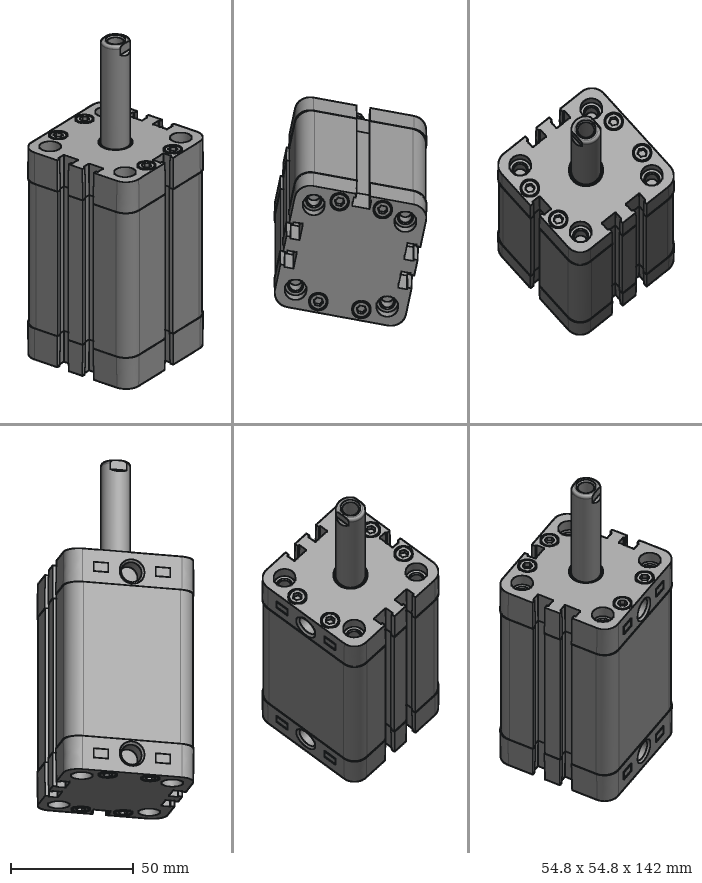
import cadquery as cq
import math

TOTAL_HEIGHT = 142.0
BODY_HEIGHT = 95.0
CAP_HEIGHT = 14.3
CAP_SEAM_WIDTH = 54.8
CAP_DRAFT = 0.7
CAP_CORNER_RADIUS = 6.5
BARREL_WIDTH = 54.4
BARREL_CORNER_RADIUS = 6.8
BARREL_TOP = BODY_HEIGHT - CAP_HEIGHT

SLOT_NECK_WIDTH = 5.4
SLOT_INNER_WIDTH = 7.0
SLOT_OFFSET = 6.4
SLOT_FLOOR = 21.9
SLOT_SHOULDER = 25.4
SLOT_REACH = 35.5

MOUNT_OFFSET = 19.0
MOUNT_RECESS_DIAMETER = 9.0
MOUNT_RECESS_DEPTH = 5.0
MOUNT_HOLE_DIAMETER = 5.3
MOUNT_HOLE_DEPTH = 11.4
MOUNT_CHAMFER = 0.5

SCREW_X = 22.5
SCREW_Y = 9.0
SCREW_RECESS_DIAMETER = 7.7
SCREW_HEAD_DIAMETER = 6.7
SCREW_GROOVE_DEPTH = 0.5
HEX_ACROSS_FLATS = 3.4
HEX_DEPTH = 2.1

PORT_HEIGHT = 8.2
PORT_DIAMETER = 8.5
PORT_CHAMFER = 1.0
PORT_CORE_DIAMETER = 40.0

LABEL_WIDTH = 6.1
LABEL_HEIGHT = 4.0
LABEL_DEPTH = 0.3
LABEL_OFFSET = 13.0
LABEL_CENTRE_HEIGHT = 7.4

ROD_DIAMETER = 12.0
ROD_EDGE_RADIUS = 1.3
ROD_FLAT_WIDTH = 10.0
ROD_FLAT_LENGTH = 4.1
ROD_HOLE_DIAMETER = 6.7
ROD_HOLE_DEPTH = 19.9
ROD_COUNTERSINK_DIAMETER = 8.1
DRILL_POINT_ANGLE = 118.0
ROD_RELIEF_DIAMETER = 12.5
ROD_RELIEF_DEPTH = 0.4
ROD_SEAT_DIAMETER = 13.6
ROD_SEAT_DEPTH = 0.21


def cylinder(diameter, bottom, top):
    """Upright cylinder on the body axis."""
    return cq.Workplane("XY").workplane(offset=bottom).circle(diameter / 2).extrude(top - bottom)


def cone(bottom_diameter, top_diameter, bottom, top):
    """Upright cone or cone frustum on the body axis."""
    return cq.Workplane(
        cq.Solid.makeCone(bottom_diameter / 2, top_diameter / 2, top - bottom, cq.Vector(0, 0, bottom))
    )


def body_profile(width, corner_radius):
    """Rounded square with one T-slot on +X and a pair on each Y face."""
    profile = cq.Sketch().rect(width, width).vertices().fillet(corner_radius).reset()
    profile = cut_slot(profile, 0, 0)
    for direction in (90, -90):
        for offset in (-SLOT_OFFSET, SLOT_OFFSET):
            profile = cut_slot(profile, direction, offset)
    return cq.Workplane("XY").placeSketch(profile)


def cut_slot(profile, direction, offset):
    """Cut a T-slot in the face that points along direction, shifted sideways by offset."""
    turn = cq.Location(cq.Vector(0, 0, 0), cq.Vector(0, 0, 1), direction)
    for width, start, end in (
        (SLOT_INNER_WIDTH, SLOT_FLOOR, SLOT_SHOULDER),
        (SLOT_NECK_WIDTH, SLOT_FLOOR, SLOT_REACH),
    ):
        middle = cq.Location(cq.Vector((start + end) / 2, offset, 0))
        profile = profile.push([turn * middle]).rect(end - start, width, mode="s").reset()
    return profile


def mount_hole_cutter():
    """Recess, chamfer and blind hole, opening upward at the cap's end face."""
    recess_floor = BODY_HEIGHT - MOUNT_RECESS_DEPTH
    chamfer_diameter = MOUNT_HOLE_DIAMETER + 2 * MOUNT_CHAMFER
    recess = cylinder(MOUNT_RECESS_DIAMETER, recess_floor, BODY_HEIGHT)
    chamfer = cone(MOUNT_HOLE_DIAMETER, chamfer_diameter, recess_floor - MOUNT_CHAMFER, recess_floor)
    hole = cylinder(MOUNT_HOLE_DIAMETER, BODY_HEIGHT - MOUNT_HOLE_DEPTH, recess_floor)
    return recess.union(chamfer).union(hole)


def screw_cutter():
    """Ring groove around a screw head, and the head's hex socket."""
    groove_floor = BODY_HEIGHT - SCREW_GROOVE_DEPTH
    groove = cylinder(SCREW_RECESS_DIAMETER, groove_floor, BODY_HEIGHT).cut(
        cylinder(SCREW_HEAD_DIAMETER, groove_floor, BODY_HEIGHT)
    )
    hex_across_corners = HEX_ACROSS_FLATS / math.cos(math.pi / 6)
    socket = (
        cq.Workplane("XY")
        .workplane(offset=BODY_HEIGHT)
        .polygon(6, hex_across_corners)
        .extrude(-HEX_DEPTH)
        .rotate((0, 0, 0), (0, 0, 1), 90)
    )
    return groove.union(socket)


def face_position(depth_from_end):
    """X of the drafted -X face at a given distance from the cap's end face."""
    return -CAP_SEAM_WIDTH / 2 + (CAP_HEIGHT - depth_from_end) * math.tan(math.radians(CAP_DRAFT))


def cut_port(cap):
    """Chamfered port in the -X face, ending at the round core.

    The chamfer cone starts outside the face so that it cuts the mouth cleanly.
    """
    face_x = face_position(PORT_HEIGHT)
    port_z = BODY_HEIGHT - PORT_HEIGHT
    cone_start_radius = PORT_DIAMETER / 2 + 2 * PORT_CHAMFER
    start = cq.Vector(face_x - PORT_CHAMFER, 0, port_z)
    inward = cq.Vector(1, 0, 0)
    bore = cq.Workplane(cq.Solid.makeCylinder(PORT_DIAMETER / 2, -face_x, start, inward))
    chamfer = cq.Workplane(
        cq.Solid.makeCone(cone_start_radius, PORT_DIAMETER / 2, 2 * PORT_CHAMFER, start, inward)
    )
    core = cylinder(PORT_CORE_DIAMETER, BARREL_TOP, BODY_HEIGHT)
    return cap.cut(bore.union(chamfer).cut(core))


def cut_labels(cap):
    """Shallow rectangular panels on both sides of the port."""
    face_x = face_position(LABEL_CENTRE_HEIGHT)
    for side in (-1, 1):
        label = cq.Workplane("XY").box(2 * LABEL_DEPTH, LABEL_WIDTH, LABEL_HEIGHT)
        cap = cap.cut(label.translate((face_x, side * LABEL_OFFSET, BODY_HEIGHT - LABEL_CENTRE_HEIGHT)))
    return cap


def end_cap():
    """Upper end cap without the rod bore."""
    cap = (
        body_profile(CAP_SEAM_WIDTH, CAP_CORNER_RADIUS)
        .extrude(CAP_HEIGHT, taper=CAP_DRAFT)
        .translate((0, 0, BARREL_TOP))
    )
    mount_hole = mount_hole_cutter()
    screw = screw_cutter()
    for x_side in (-1, 1):
        for y_side in (-1, 1):
            cap = cap.cut(mount_hole.translate((x_side * MOUNT_OFFSET, y_side * MOUNT_OFFSET, 0)))
            cap = cap.cut(screw.translate((x_side * SCREW_X, y_side * SCREW_Y, 0)))
    cap = cut_port(cap)
    return cut_labels(cap)


def make_lower_cap():
    """The plain end cap turned upside down."""
    return end_cap().mirror("XY", (0, 0, BODY_HEIGHT / 2))


def make_upper_cap():
    """End cap with the rod bore and the stepped seat around the rod."""
    seat_mouth = ROD_SEAT_DIAMETER + 2 * ROD_SEAT_DEPTH
    seat_floor = BODY_HEIGHT - ROD_SEAT_DEPTH
    relief_floor = BODY_HEIGHT - ROD_RELIEF_DEPTH
    return (
        end_cap()
        .cut(cylinder(ROD_DIAMETER, BARREL_TOP, BODY_HEIGHT))
        .cut(cylinder(ROD_RELIEF_DIAMETER, relief_floor, BODY_HEIGHT))
        .cut(cone(ROD_SEAT_DIAMETER, seat_mouth, seat_floor, BODY_HEIGHT))
    )


def make_barrel():
    """Slotted profile between the two caps."""
    return (
        body_profile(BARREL_WIDTH, BARREL_CORNER_RADIUS)
        .extrude(BARREL_TOP - CAP_HEIGHT)
        .translate((0, 0, CAP_HEIGHT))
    )


def rod_flat_cutter():
    """Wrench flat on the +X side with a 45 degree run-out."""
    flat_x = ROD_FLAT_WIDTH / 2
    flat_bottom = TOTAL_HEIGHT - ROD_FLAT_LENGTH
    return (
        cq.Workplane("XZ")
        .moveTo(flat_x, TOTAL_HEIGHT)
        .lineTo(flat_x, flat_bottom)
        .lineTo(ROD_DIAMETER, flat_bottom - (ROD_DIAMETER - flat_x))
        .lineTo(ROD_DIAMETER, TOTAL_HEIGHT)
        .close()
        .extrude(ROD_DIAMETER / 2, both=True)
    )


def make_rod():
    """Piston rod standing on the barrel, with a drilled tip and two wrench flats."""
    rod = cylinder(ROD_DIAMETER, BARREL_TOP, TOTAL_HEIGHT).faces(">Z").edges().fillet(ROD_EDGE_RADIUS)
    flat = rod_flat_cutter()
    rod = rod.cut(flat).cut(flat.mirror("YZ"))

    hole_bottom = TOTAL_HEIGHT - ROD_HOLE_DEPTH
    point_length = ROD_HOLE_DIAMETER / 2 / math.tan(math.radians(DRILL_POINT_ANGLE / 2))
    countersink_depth = (ROD_COUNTERSINK_DIAMETER - ROD_HOLE_DIAMETER) / 2
    countersink_bottom = TOTAL_HEIGHT - countersink_depth
    return (
        rod.cut(cylinder(ROD_HOLE_DIAMETER, hole_bottom, TOTAL_HEIGHT))
        .cut(cone(0, ROD_HOLE_DIAMETER, hole_bottom - point_length, hole_bottom))
        .cut(cone(ROD_HOLE_DIAMETER, ROD_COUNTERSINK_DIAMETER, countersink_bottom, TOTAL_HEIGHT))
    )


lower_cap = make_lower_cap()
upper_cap = make_upper_cap()
barrel = make_barrel()
rod = make_rod()

result = cq.Compound.makeCompound([lower_cap.val(), barrel.val(), upper_cap.val(), rod.val()])